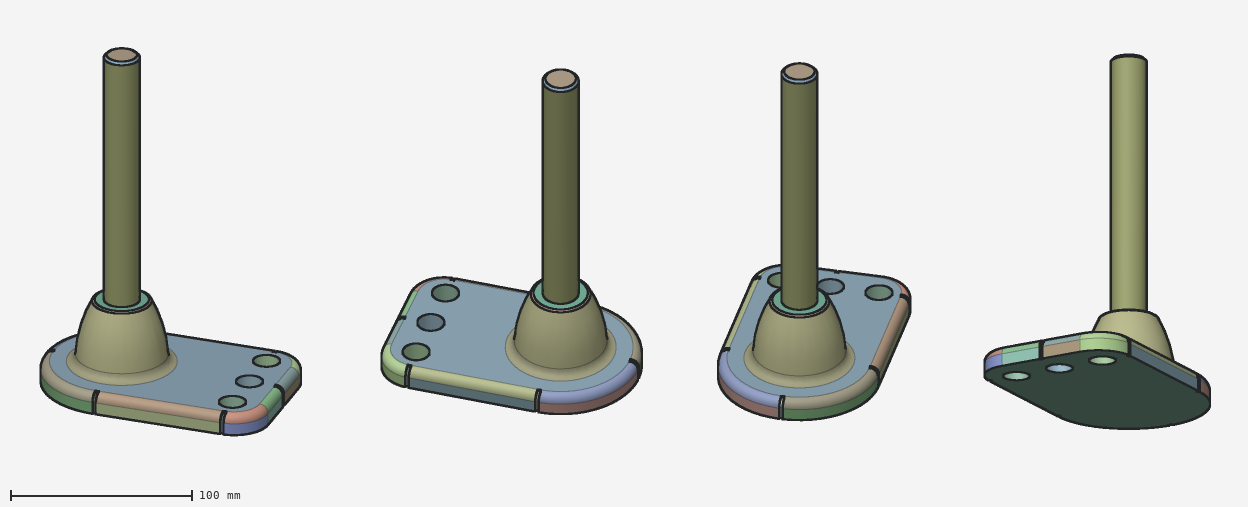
import cadquery as cq
import math

total_height = 200.0

plate_width = 90.0
plate_length = 140.0
plate_thickness = 12.0
plate_corner_radius = 20.0
plate_edge_fillet = 5.0
end_radius = plate_width / 2
plate_far_x = plate_length - end_radius

hole_diameter = 15.0
hole_pitch = 27.5
hole_count = 3
corner_center_x = plate_far_x - plate_corner_radius

groove_width = 2.0
groove_depth = 1.0
strip_length = 2 * plate_length

boss_base_radius = 25.8
boss_top_radius = 16.0
boss_top_z = 50.0
boss_root_fillet = 5.0
root_search = 0.2
boss_top_chamfer = 1.0

rod_diameter = 20.0
rod_tip_chamfer = 1.5


def plate_block(inset, height):
    """Sharp-edged plate whose outline is shrunk by inset."""
    half_width = end_radius - inset
    far_x = plate_far_x - inset
    return (
        cq.Workplane("XY")
        .moveTo(0, half_width)
        .threePointArc((-half_width, 0), (0, -half_width))
        .lineTo(far_x, -half_width)
        .lineTo(far_x, half_width)
        .close()
        .extrude(height)
        .edges("|Z and >X")
        .fillet(plate_corner_radius - inset)
    )


def rounded_plate(inset):
    """Plate with a filleted top edge, its sides, top and fillet all shrunk by inset."""
    block = plate_block(inset, plate_thickness - inset)
    return block.faces(">Z").edges().fillet(plate_edge_fillet - inset)


def rim_grooves():
    """Cutters for the rim grooves, whose floor runs parallel to the side and the fillet."""
    lengthwise = cq.Workplane("XY").box(
        strip_length, groove_width, plate_thickness, centered=(True, True, False)
    )
    crosswise = (
        cq.Workplane("XY")
        .pushPoints([(0, 0), (corner_center_x, 0)])
        .box(groove_width, strip_length, plate_thickness, centered=(True, True, False))
    )
    flat_top_core = plate_block(plate_edge_fillet, plate_thickness)
    kept_inside = rounded_plate(groove_depth).union(flat_top_core)
    return [strips.cut(kept_inside) for strips in (lengthwise, crosswise)]


def boss():
    """Revolved dome whose side arc rises vertically from the plate top."""
    height = boss_top_z - plate_thickness
    narrowing = boss_base_radius - boss_top_radius
    arc_radius = (height**2 + narrowing**2) / (2 * narrowing)
    half_angle = math.asin(height / arc_radius) / 2
    arc_middle = (
        boss_base_radius - arc_radius * (1 - math.cos(half_angle)),
        plate_thickness + arc_radius * math.sin(half_angle),
    )
    return (
        cq.Workplane("XZ")
        .lineTo(boss_base_radius, 0)
        .lineTo(boss_base_radius, plate_thickness)
        .threePointArc(arc_middle, (boss_top_radius, boss_top_z))
        .lineTo(0, boss_top_z)
        .close()
        .revolve(360, (0, 0, 0), (0, 1, 0))
        .faces(">Z")
        .edges()
        .chamfer(boss_top_chamfer)
    )


def build_base():
    """Plate and boss in one piece, with the mounting holes and rim grooves cut."""
    root_box = cq.selectors.BoxSelector(
        (-boss_base_radius, -boss_base_radius, plate_thickness - root_search),
        (boss_base_radius, boss_base_radius, plate_thickness + root_search),
    )
    body = rounded_plate(0).union(boss()).edges(root_box).fillet(boss_root_fillet)
    holes = (
        cq.Workplane("XY")
        .center(corner_center_x, 0)
        .rarray(2, hole_pitch, 1, hole_count)
        .circle(hole_diameter / 2)
        .extrude(plate_thickness)
    )
    body = body.cut(holes)
    for grooves in rim_grooves():
        body = body.cut(grooves)
    return body


def build_rod():
    """Round rod standing on the boss top."""
    return (
        cq.Workplane("XY")
        .workplane(offset=boss_top_z)
        .circle(rod_diameter / 2)
        .extrude(total_height - boss_top_z)
        .faces(">Z")
        .chamfer(rod_tip_chamfer)
    )


base = build_base()
rod = build_rod()
result = cq.Compound.makeCompound([base.val(), rod.val()])